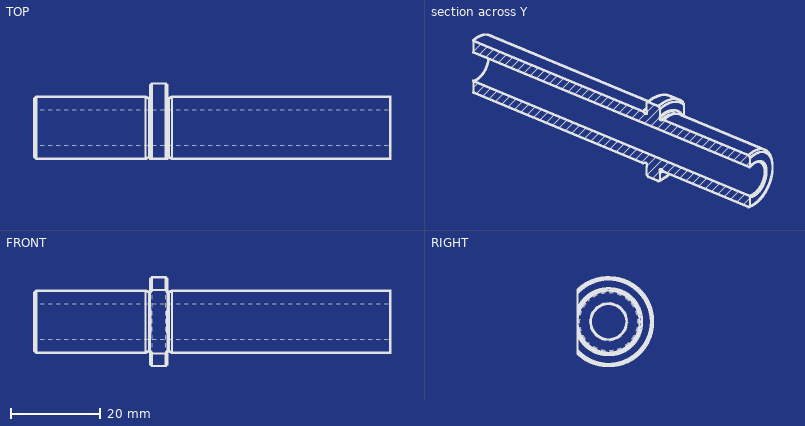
import cadquery as cq
import math

length = 80.0
tube_radius = 14.0 / 2
bore_radius = 8.0 / 2
bore_chamfer = 0.3
end_chamfer = 0.5

collar_centre = 28.0
collar_width = 4.0
collar_radius = 20.0 / 2
collar_chamfer = 0.5
flat_offset = tube_radius

undercut_radius = 13.3 / 2
undercut_length = 1.0
floor_to_face = 0.25
corner_radius = 0.4
recess_angle = math.radians(20)


def make_tube():
    tube = cq.Workplane("YZ").circle(tube_radius).extrude(length)
    return tube.faces("<X").chamfer(end_chamfer)


def make_collar():
    collar = (
        cq.Workplane("YZ", origin=(collar_centre - collar_width / 2, 0, 0))
        .circle(collar_radius)
        .extrude(collar_width)
        .faces("<X or >X")
        .chamfer(collar_chamfer)
    )
    beyond_flat = (
        cq.Workplane("XY")
        .box(2 * collar_width, collar_radius, 2 * collar_radius)
        .translate((collar_centre, -flat_offset - collar_radius / 2, 0))
    )
    return collar.cut(beyond_flat)


def make_undercut(side):
    """Ring removed beside one collar face; side is -1 toward x = 0, +1 away from it."""
    face = collar_centre + side * collar_width / 2
    taper_start = face + side * undercut_length

    corner_x = face + side * floor_to_face
    corner_height = undercut_radius + corner_radius

    def on_corner(angle):
        return (
            corner_x - side * corner_radius * math.cos(angle),
            corner_height + corner_radius * math.sin(angle),
        )

    corner_end = on_corner(recess_angle)
    recess_depth = side * (face - corner_end[0])
    recess_radius = corner_end[1] + recess_depth / math.tan(recess_angle)
    return (
        cq.Workplane("XY")
        .moveTo(taper_start, tube_radius)
        .lineTo(corner_x, undercut_radius)
        .threePointArc(on_corner(0), corner_end)
        .lineTo(face, recess_radius)
        .lineTo(taper_start, recess_radius)
        .close()
        .revolve(360, (0, 0, 0), (1, 0, 0))
    )


def make_bore():
    """Through hole, widened by a chamfer at the x = 0 end."""
    hole = cq.Workplane("YZ").circle(bore_radius).extrude(length)
    mouth = cq.Solid.makeCone(
        bore_radius + bore_chamfer,
        bore_radius,
        bore_chamfer,
        cq.Vector(0, 0, 0),
        cq.Vector(1, 0, 0),
    )
    return hole.union(cq.Workplane(mouth))


result = make_tube().union(make_collar())
for side in (-1, 1):
    result = result.cut(make_undercut(side))
result = result.cut(make_bore())